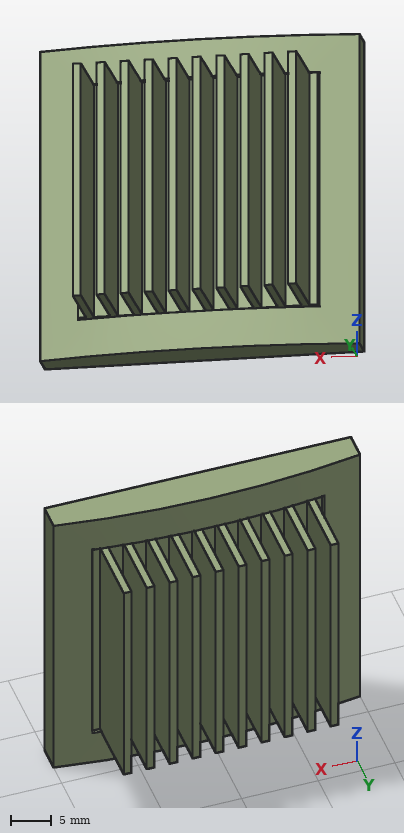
import cadquery as cq
import math

plate_size = 40.0
plate_thickness = 5.0
crown_radius = 130.0
crown_drop = crown_radius - math.sqrt(crown_radius**2 - (plate_size / 2) ** 2)
edge_thickness = plate_thickness - crown_drop

window_size = 20.0
window_depth = 2.0

sink_size = 30.0
base_thickness = 2.0
back_y = 12.93
fin_count = 10
fin_thickness = 1.0
fin_pitch = 3.0

recess_clearance = 0.3
recess_size = sink_size + recess_clearance
sink_shift = recess_clearance / 2


def block(width, y_start, y_end, height, x=0.0, z=0.0):
    """Box centred on (x, z) in X and Z, reaching from y_start to y_end."""
    return cq.Workplane("XY").box(width, y_end - y_start, height).translate((x, (y_start + y_end) / 2, z))


def make_plate():
    half = plate_size / 2
    crowned = (
        cq.Workplane("XY")
        .moveTo(-half, 0)
        .lineTo(half, 0)
        .lineTo(half, edge_thickness)
        .threePointArc((0, plate_thickness), (-half, edge_thickness))
        .close()
        .extrude(half, both=True)
    )
    window = block(window_size, 0, window_depth, window_size)
    recess = block(recess_size, window_depth, plate_thickness, recess_size)
    return crowned.cut(window).cut(recess)


def make_heat_sink():
    base_back_y = window_depth + base_thickness
    sink = block(sink_size, window_depth, base_back_y, sink_size, sink_shift, sink_shift)
    first_fin_x = sink_shift - (fin_count - 1) * fin_pitch / 2
    for index in range(fin_count):
        fin_x = first_fin_x + index * fin_pitch
        sink = sink.union(block(fin_thickness, base_back_y, back_y, sink_size, fin_x, sink_shift))
    return sink


plate = make_plate()
heat_sink = make_heat_sink()

result = cq.Compound.makeCompound([plate.val(), heat_sink.val()])